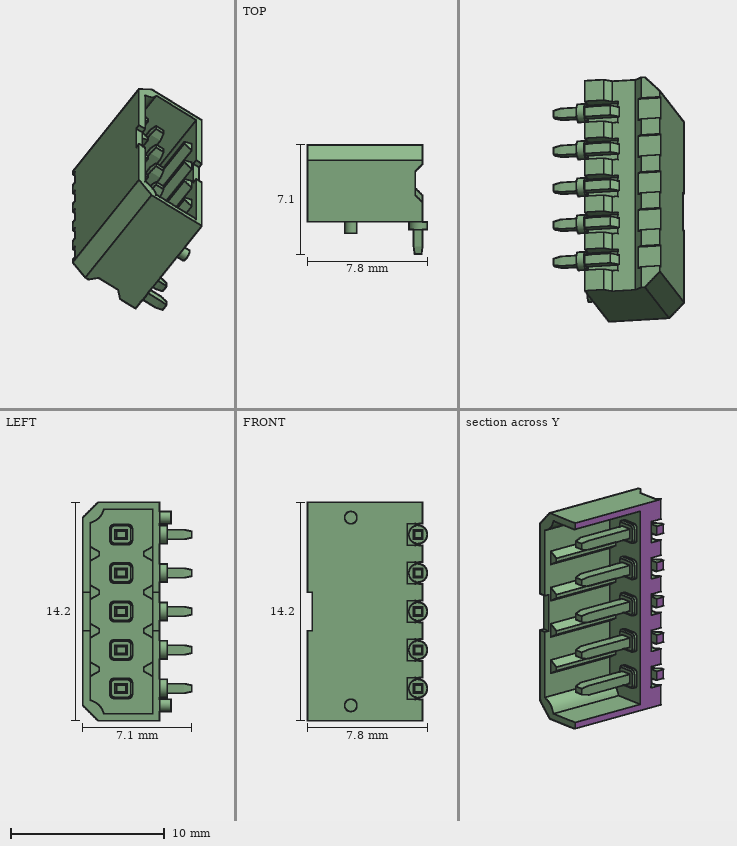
import cadquery as cq
import math


PITCH = 2.5
PIN_COUNT = 5
PIN_ZS = [PITCH * (i - (PIN_COUNT - 1) / 2) for i in range(PIN_COUNT)]
GAP_ZS = [z + PITCH / 2 for z in PIN_ZS[:-1]]

BODY_DEPTH = 7.5
BODY_HEIGHT = 5.0
BODY_WIDTH = 14.2
BODY_CHAMFER = 1.0
WALL = 0.46
TOP_WALL = 0.5
CAVITY_DEPTH = 5.5

CORNER_LEG = 0.88
CORNER_FACE_ANGLE = 22
CORNER_RADIUS = 1.1

MOUTH_NOTCH_DEPTH = 0.32
MOUTH_NOTCH_WIDTH = PITCH

RIB_HALF_WIDTH = 0.46
RIB_FACE_ANGLE = 60
RIB_DEPTH = 0.58
RIB_START = 0.5

GROOVE_DEPTH = 0.48
GROOVE_BOTTOM = 1.25
GROOVE_TOP = 3.75

SLOT_DEPTH = 1.0
SLOT_WIDTH = 1.42
UPPER_SLOT_DEPTH = 0.25

PAD_HEIGHT_Y = 1.48
PAD_WIDTH_Z = 1.32
PAD_RADIUS = 0.3
PAD_RISE = 0.3
PAD_CHAMFER = 0.1

PIN_THICKNESS = 0.64
PIN_Y = BODY_HEIGHT / 2
MATING_HEIGHT = 0.8
MATING_TIP_X = 1.2
MATING_TAPER = 0.5
MATING_TIP_HEIGHT = 0.6
MATING_TIP_WIDTH = 0.4
LEG_DEPTH = 0.6
LEG_X = BODY_DEPTH - LEG_DEPTH / 2
LEG_LENGTH = 2.1
LEG_TAPER = 0.5
LEG_TIP_DEPTH = 0.46
LEG_TIP_WIDTH = 0.42
BEND_CHAMFER_BASE = 1.71
COLLAR_DIAMETER = 1.2
COLLAR_LENGTH = 0.5

PEG_DIAMETER = 0.8
PEG_LENGTH = 0.75
PEG_X = 2.83
PEG_Z = 6.1


def box(x0, x1, y0, y1, z0, z1):
    """Box given by its limits along each axis."""
    return cq.Workplane("XY").box(x1 - x0, y1 - y0, z1 - z0, centered=False).translate((x0, y0, z0))


def mirrored_in_z(shape):
    """Shape together with its mirror image about Z = 0."""
    return shape.union(shape.mirror("XY"))


def make_shell():
    """Chamfered block hollowed from the mating face, leaving blunt corners inside its chamfers."""
    half_width = BODY_WIDTH / 2
    block = box(0, BODY_DEPTH, 0, BODY_HEIGHT, -half_width, half_width)
    block = block.edges("|X and >Y").chamfer(BODY_CHAMFER)
    inner_half = half_width - WALL
    cavity = box(0, CAVITY_DEPTH, WALL, BODY_HEIGHT - TOP_WALL, -inner_half, inner_half)
    return block.cut(cavity.cut(make_corners()))


def make_corners():
    """Blunt corner fillers whose two faces meet in a rounded crest."""
    wall_y = BODY_HEIGHT - TOP_WALL
    wall_z = BODY_WIDTH / 2 - WALL
    slope = math.tan(math.radians(CORNER_FACE_ANGLE))
    crest = CORNER_LEG / (1 + slope)
    filler = (
        cq.Workplane("YZ")
        .moveTo(wall_y, wall_z)
        .lineTo(wall_y, wall_z - CORNER_LEG)
        .lineTo(wall_y - crest, wall_z - crest)
        .lineTo(wall_y - CORNER_LEG, wall_z)
        .close()
        .extrude(CAVITY_DEPTH)
    )
    crest_edge = cq.selectors.NearestToPointSelector((CAVITY_DEPTH / 2, wall_y - crest, wall_z - crest))
    return mirrored_in_z(filler.edges(crest_edge).fillet(CORNER_RADIUS))


def make_ribs():
    """Flat-topped V ribs on both long walls, midway between contacts."""
    tip_y = WALL + RIB_DEPTH
    tip_half_width = RIB_HALF_WIDTH - RIB_DEPTH / math.tan(math.radians(RIB_FACE_ANGLE))
    rib = (
        cq.Workplane("YZ", origin=(RIB_START, 0, 0))
        .polyline([
            (WALL, -RIB_HALF_WIDTH),
            (tip_y, -tip_half_width),
            (tip_y, tip_half_width),
            (WALL, RIB_HALF_WIDTH),
        ])
        .close()
        .extrude(CAVITY_DEPTH - RIB_START)
    )
    pair = rib.union(rib.mirror("XZ").translate((0, BODY_HEIGHT + WALL - TOP_WALL, 0)))
    ribs = cq.Workplane("XY")
    for z in GAP_ZS:
        ribs = ribs.union(pair.translate((0, 0, z)))
    return ribs


def make_mouth_notch():
    """Cutter lowering the middle of both long walls at the mating face."""
    half = MOUTH_NOTCH_WIDTH / 2
    return box(0, MOUTH_NOTCH_DEPTH, 0, BODY_HEIGHT, -half, half)


def make_back_groove():
    """Cutter for the trapezoidal groove with 45 degree flanks along the back."""
    floor_x = BODY_DEPTH - GROOVE_DEPTH
    return (
        cq.Workplane("XY")
        .polyline([
            (BODY_DEPTH, GROOVE_BOTTOM),
            (floor_x, GROOVE_BOTTOM + GROOVE_DEPTH),
            (floor_x, GROOVE_TOP - GROOVE_DEPTH),
            (BODY_DEPTH, GROOVE_TOP),
        ])
        .close()
        .extrude(BODY_WIDTH / 2, both=True)
    )


def make_leg_slot():
    """Cutter for one leg slot, deep up to the underside of the pin and shallow above it."""
    half = SLOT_WIDTH / 2
    ceiling = PIN_Y - MATING_HEIGHT / 2
    deep = box(BODY_DEPTH - SLOT_DEPTH, BODY_DEPTH, 0, ceiling, -half, half)
    shallow = box(BODY_DEPTH - UPPER_SLOT_DEPTH, BODY_DEPTH, ceiling, BODY_HEIGHT, -half, half)
    return deep.union(shallow)


def make_pad():
    """Rounded pad standing on the cavity floor around one pin."""
    return (
        cq.Workplane("YZ", origin=(CAVITY_DEPTH - PAD_RISE, PIN_Y, 0))
        .rect(PAD_HEIGHT_Y, PAD_WIDTH_Z)
        .extrude(PAD_RISE)
        .edges("|X")
        .fillet(PAD_RADIUS)
        .faces("<X")
        .chamfer(PAD_CHAMFER)
    )


def make_contact():
    """Right-angle contact: mating pin, mitred bend, board leg and collar."""
    half = PIN_THICKNESS / 2
    taper_x = MATING_TIP_X + MATING_TAPER
    pin_bottom = PIN_Y - MATING_HEIGHT / 2
    pin_top = PIN_Y + MATING_HEIGHT / 2
    taper_y = LEG_TAPER - LEG_LENGTH
    bend_length = pin_top - BEND_CHAMFER_BASE
    bar = (
        cq.Workplane("XY")
        .polyline([
            (taper_x, pin_bottom),
            (taper_x, pin_top),
            (BODY_DEPTH - bend_length, pin_top),
            (BODY_DEPTH, BEND_CHAMFER_BASE),
            (BODY_DEPTH, taper_y),
            (BODY_DEPTH - LEG_DEPTH, taper_y),
            (BODY_DEPTH - LEG_DEPTH, pin_bottom),
        ])
        .close()
        .extrude(half, both=True)
    )
    mating_tip = (
        cq.Workplane("YZ", origin=(MATING_TIP_X, PIN_Y, 0))
        .rect(MATING_TIP_HEIGHT, MATING_TIP_WIDTH)
        .workplane(offset=MATING_TAPER)
        .rect(MATING_HEIGHT, PIN_THICKNESS)
        .loft()
    )
    leg_tip = (
        cq.Workplane("XZ", origin=(LEG_X, taper_y, 0))
        .rect(LEG_DEPTH, PIN_THICKNESS)
        .workplane(offset=LEG_TAPER)
        .rect(LEG_TIP_DEPTH, LEG_TIP_WIDTH)
        .loft()
    )
    collar = cq.Workplane("XZ", origin=(LEG_X, 0, 0)).circle(COLLAR_DIAMETER / 2).extrude(COLLAR_LENGTH)
    return bar.union(mating_tip).union(leg_tip).union(collar)


def make_pegs():
    """Two round pegs that locate the housing on the board."""
    peg = cq.Workplane("XZ", origin=(PEG_X, 0, PEG_Z)).circle(PEG_DIAMETER / 2).extrude(PEG_LENGTH)
    return mirrored_in_z(peg)


housing = make_shell().union(make_ribs())
housing = housing.cut(make_mouth_notch()).cut(make_back_groove())

leg_slot = make_leg_slot()
pad = make_pad()
contact = make_contact()
for pin_z in PIN_ZS:
    place = (0, 0, pin_z)
    housing = housing.cut(leg_slot.translate(place))
    housing = housing.union(pad.translate(place)).union(contact.translate(place))

result = housing.union(make_pegs())